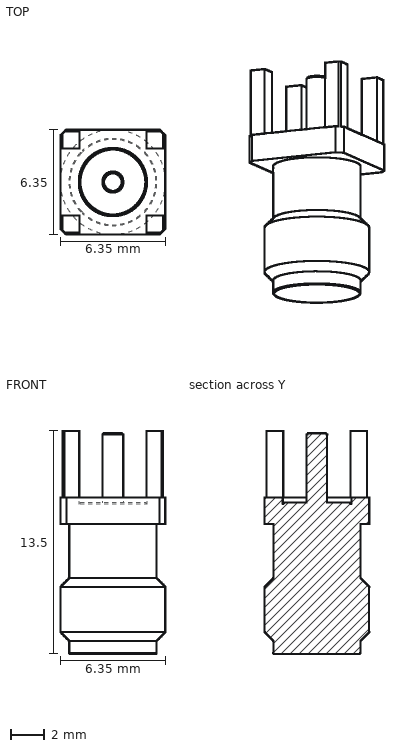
import cadquery as cq

total_height = 13.5
flange_width = 6.35

leg_length = 4.02
flange_thickness = 1.62
flange_corner_chamfer = 0.37
flange_top = total_height - leg_length
flange_bottom = flange_top - flange_thickness

barrel_radius = 2.65
collar_radius = flange_width / 2
collar_bevel = collar_radius - barrel_radius
collar_bottom = 0.81
collar_top = 4.6
barrel_end_chamfer = 0.06

recess_radius = 2.065
insulator_chamfer = 0.1
insulator_depth = 0.3
insulator_top = flange_top - insulator_depth
recess_floor = insulator_top - insulator_chamfer

pin_radius = 0.635
pin_tip_below_legs = 0.13
pin_top = total_height - pin_tip_below_legs
pin_chamfer = 0.1

leg_width = 1.016
leg_edge_inset = 0.13
leg_offset = flange_width / 2 - leg_edge_inset - leg_width / 2


def square_column(bottom, height):
    """Square prism with the flange's chamfered corners."""
    column = cq.Workplane("XY").workplane(offset=bottom).rect(flange_width, flange_width).extrude(height)
    return column.edges("|Z").chamfer(flange_corner_chamfer)


def barrel():
    """Barrel and collar, turned about Z from the lower end up to the flange."""
    profile = [
        (0, 0),
        (barrel_radius - barrel_end_chamfer, 0),
        (barrel_radius, barrel_end_chamfer),
        (barrel_radius, collar_bottom),
        (collar_radius, collar_bottom + collar_bevel),
        (collar_radius, collar_top - collar_bevel),
        (barrel_radius, collar_top),
        (barrel_radius, flange_bottom),
        (0, flange_bottom),
    ]
    return cq.Workplane("XZ").polyline(profile).close().revolve(360, (0, 0), (0, 1))


def recess():
    """Cylindrical recess cut into the flange top."""
    opening = cq.Workplane("XY").workplane(offset=recess_floor).circle(recess_radius)
    return opening.extrude(flange_top - recess_floor)


def insulator():
    """Insulator face filling the recess bottom as a shallow frustum."""
    disc = cq.Workplane("XY").workplane(offset=recess_floor).circle(recess_radius)
    return disc.workplane(offset=insulator_chamfer).circle(recess_radius - insulator_chamfer).loft(ruled=True)


def pin():
    """Centre pin standing up from the recess floor, chamfered at its tip."""
    shaft = cq.Workplane("XY").workplane(offset=recess_floor).circle(pin_radius)
    return shaft.extrude(pin_top - recess_floor).faces(">Z").chamfer(pin_chamfer)


def legs():
    """Four square legs, with outer edges trimmed flush with the flange corner chamfers."""
    spacing = 2 * leg_offset
    posts = (
        cq.Workplane("XY")
        .workplane(offset=flange_top)
        .rarray(spacing, spacing, 2, 2)
        .rect(leg_width, leg_width)
        .extrude(leg_length)
    )
    return posts.intersect(square_column(flange_top, leg_length))


flange = square_column(flange_bottom, flange_thickness)
result = flange.union(barrel()).cut(recess()).union(insulator()).union(pin()).union(legs())